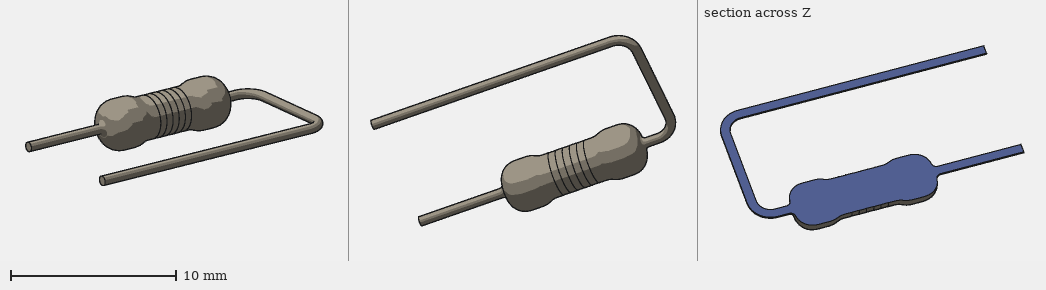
import cadquery as cq
import math

diagonal = math.sqrt(0.5)

overall_length = 17.1
lead_radius = 0.6 / 2
lead_pitch = 7.5
bend_radius = 1.2

body_centre = 10.09
body_half_length = 4.5
cap_radius = 3.2 / 2
cap_rounding = 1.11
neck_fillet = lead_radius

wide_band_radius = 2.74 / 2
narrow_band_radius = 2.72 / 2
band_count = 7
band_width = 0.46
band_half_length = band_count * band_width / 2
shoulder_length = 0.95


def make_bands():
    """Alternating colour bands, starting and ending with a wide one."""
    start = body_centre - band_half_length
    bands = None
    for index in range(band_count):
        radius = wide_band_radius if index % 2 == 0 else narrow_band_radius
        band = (
            cq.Workplane("XZ", origin=(0, start + index * band_width, 0))
            .circle(radius)
            .extrude(-band_width)
        )
        bands = band if bands is None else bands.union(band)
    return bands


def make_cap(direction):
    """End cap with S-curved shoulder, rounded end and neck flaring onto the lead."""
    def point(radius, offset):
        return (radius, body_centre + direction * offset)

    shoulder_end = band_half_length + shoulder_length
    half_run = shoulder_length / 2
    shoulder_middle = band_half_length + half_run
    middle_radius = (wide_band_radius + cap_radius) / 2

    half_rise = middle_radius - wide_band_radius
    shoulder_arc_radius = (half_run**2 + half_rise**2) / (2 * half_rise)
    half_angle = math.asin(half_run / shoulder_arc_radius) / 2
    arc_depth = shoulder_arc_radius * (1 - math.cos(half_angle))
    arc_reach = shoulder_arc_radius * math.sin(half_angle)

    rounding_start = body_half_length - cap_rounding
    rounding_centre = cap_radius - cap_rounding
    neck_radius = lead_radius + neck_fillet
    neck_end = body_half_length + neck_fillet

    neck_reach = neck_radius - rounding_centre
    neck_start = rounding_start + math.sqrt(cap_rounding**2 - neck_reach**2)

    profile = (
        cq.Workplane("XY")
        .moveTo(*point(0, band_half_length))
        .lineTo(*point(wide_band_radius, band_half_length))
        .threePointArc(
            point(wide_band_radius + arc_depth, band_half_length + arc_reach),
            point(middle_radius, shoulder_middle),
        )
        .threePointArc(
            point(cap_radius - arc_depth, shoulder_end - arc_reach),
            point(cap_radius, shoulder_end),
        )
        .lineTo(*point(cap_radius, rounding_start))
        .threePointArc(
            point(rounding_centre + cap_rounding * diagonal, rounding_start + cap_rounding * diagonal),
            point(neck_radius, neck_start),
        )
        .threePointArc(
            point(neck_radius - neck_fillet * diagonal, neck_end - neck_fillet * diagonal),
            point(lead_radius, neck_end),
        )
        .lineTo(*point(0, neck_end))
        .close()
    )
    return profile.revolve(360, (0, 0, 0), (0, 1, 0))


def make_lead():
    """Wire running through the body, over the top and back down."""
    top = overall_length - lead_radius
    bend_start = top - bend_radius
    bend_inset = bend_radius * (1 - diagonal)
    path = (
        cq.Workplane("XY")
        .lineTo(0, bend_start)
        .threePointArc((bend_inset, top - bend_inset), (bend_radius, top))
        .lineTo(lead_pitch - bend_radius, top)
        .threePointArc((lead_pitch - bend_inset, top - bend_inset), (lead_pitch, bend_start))
        .lineTo(lead_pitch, 0)
    )
    return cq.Workplane("XZ").circle(lead_radius).sweep(path)


result = make_bands().union(make_cap(1)).union(make_cap(-1)).union(make_lead())